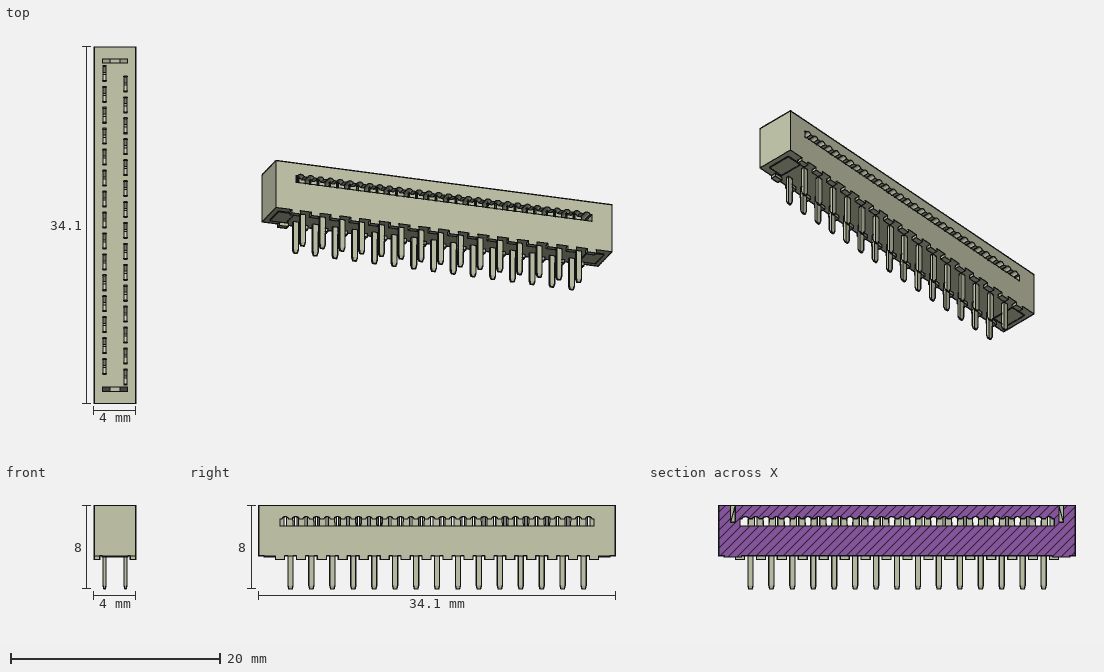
import cadquery as cq

LENGTH = 34.1
WIDTH = 4.0
HEIGHT = 4.85
TOTAL_HEIGHT = 8.0

CONTACTS_PER_ROW = 15
WIRE_COUNT = 2 * CONTACTS_PER_ROW
SLOT_LENGTH = 30.0
WIRE_PITCH = SLOT_LENGTH / WIRE_COUNT
CONTACT_PITCH = 2 * WIRE_PITCH
ROW_X = WIRE_PITCH
ROW_STAGGER = WIRE_PITCH / 2
CONTACT_THICKNESS = 0.3

SLOT_CEILING = 1.3
SLOT_FLOOR = 1.98
GROOVE_RADIUS = 0.35
GROOVE_DEPTH = 0.2

WINDOW_LENGTH = 1.55
FORK_TOP_WIDTH = 1.33
FORK_BASE_WIDTH = 1.5
FORK_GAP = 0.2
FORK_TOP = 0.5
NOTCH_BOTTOM = 0.92

LATCH_Y = 15.7
LATCH_WIDTH = 0.4
LATCH_LENGTH = 2.4
LATCH_CENTRE_LENGTH = 0.92
LATCH_DEPTH = 1.6
LATCH_SLOPE_TOP = 0.1

PIN_WIDTH = 0.5
PIN_TIP_HEIGHT = 0.35
PIN_TIP_WIDTH = 0.35
PIN_TIP_THICKNESS = 0.15

PAD_WIDTH = 2.45
PAD_LENGTH = 1.67
PAD_HEIGHT = 0.1
FOOT_WIDTH = 0.55
FOOT_LENGTH = 0.9
FOOT_HEIGHT = 0.35
FOOT_COUNT = CONTACTS_PER_ROW + 1


def block(x_size, y_size, top, bottom, x=0, y=0):
    """Box centred on (x, y) between the depths top and bottom below the top face."""
    return (
        cq.Workplane("XY", origin=(x, y, -bottom))
        .rect(x_size, y_size)
        .extrude(bottom - top)
    )


def centred_row(count, pitch):
    """Positions of count items spread evenly about zero."""
    return [(i - (count - 1) / 2) * pitch for i in range(count)]


def yz_prism(points, thickness, x=0):
    """Closed YZ outline extruded along X, centred on x."""
    return (
        cq.Workplane("YZ", origin=(x - thickness / 2, 0, 0))
        .polyline(points)
        .close()
        .extrude(thickness)
    )


def cable_slot():
    """Through slot with one round groove in its ceiling for each wire."""
    slot = block(WIDTH, SLOT_LENGTH, SLOT_CEILING, SLOT_FLOOR)
    groove_z = -SLOT_CEILING + GROOVE_DEPTH - GROOVE_RADIUS
    grooves = (
        cq.Workplane("YZ", origin=(-WIDTH / 2, 0, groove_z))
        .pushPoints([(y, 0) for y in centred_row(WIRE_COUNT, WIRE_PITCH)])
        .circle(GROOVE_RADIUS)
        .extrude(WIDTH)
    )
    return slot.union(grooves)


def contact_fork(x, y):
    """Forked blade, tapered outside, with a V lead-in that narrows to a parallel gap."""
    half_top = FORK_TOP_WIDTH / 2
    half_base = FORK_BASE_WIDTH / 2
    half_gap = FORK_GAP / 2
    outline = [
        (y - half_base, -HEIGHT),
        (y - half_base, -SLOT_FLOOR),
        (y - half_top, -FORK_TOP),
        (y - half_gap, -NOTCH_BOTTOM),
        (y - half_gap, -SLOT_FLOOR),
        (y + half_gap, -SLOT_FLOOR),
        (y + half_gap, -NOTCH_BOTTOM),
        (y + half_top, -FORK_TOP),
        (y + half_base, -SLOT_FLOOR),
        (y + half_base, -HEIGHT),
    ]
    return yz_prism(outline, CONTACT_THICKNESS, x)


def latch_recess(side):
    """End recess: flat in the middle, with a steep outward slope on each side."""
    y = side * LATCH_Y
    inner = y - side * LATCH_WIDTH / 2
    outer = y + side * LATCH_WIDTH / 2
    wedge = [
        (inner, 0),
        (outer, 0),
        (outer, -LATCH_DEPTH),
        (inner, -LATCH_SLOPE_TOP),
    ]
    sloped = yz_prism(wedge, LATCH_LENGTH)
    centre = block(LATCH_CENTRE_LENGTH, LATCH_WIDTH, 0, LATCH_DEPTH, y=y)
    return sloped.union(centre)


def pin(x, y):
    """Flat solder pin with a tapered tip."""
    tip_top = TOTAL_HEIGHT - PIN_TIP_HEIGHT
    shank = block(CONTACT_THICKNESS, PIN_WIDTH, HEIGHT, tip_top, x, y)
    tip = (
        cq.Workplane("XY", origin=(x, y, -tip_top))
        .rect(CONTACT_THICKNESS, PIN_WIDTH)
        .workplane(offset=-PIN_TIP_HEIGHT)
        .rect(PIN_TIP_THICKNESS, PIN_TIP_WIDTH)
        .loft(ruled=True)
    )
    return shank.union(tip)


def group(pieces):
    """Gather separate solids so that they are cut or joined in one step."""
    return cq.Compound.makeCompound([piece.val() for piece in pieces])


windows = []
forks = []
pins = []
feet = []
for side in (-1, 1):
    row_x = side * ROW_X
    for pin_y in centred_row(CONTACTS_PER_ROW, CONTACT_PITCH):
        fork_y = pin_y - side * ROW_STAGGER
        windows.append(block(CONTACT_THICKNESS, WINDOW_LENGTH, 0, SLOT_FLOOR, row_x, fork_y))
        forks.append(contact_fork(row_x, fork_y))
        pins.append(pin(row_x, pin_y))
    foot_x = side * (WIDTH - FOOT_WIDTH) / 2
    for foot_y in centred_row(FOOT_COUNT, CONTACT_PITCH):
        feet.append(block(FOOT_WIDTH, FOOT_LENGTH, HEIGHT, HEIGHT + FOOT_HEIGHT, foot_x, foot_y))

recesses = [latch_recess(side) for side in (-1, 1)]
pads = [
    block(PAD_WIDTH, PAD_LENGTH, HEIGHT, HEIGHT + PAD_HEIGHT, y=side * LATCH_Y)
    for side in (-1, 1)
]

housing = block(WIDTH, LENGTH, 0, HEIGHT).cut(cable_slot())
housing = housing.cut(cq.Workplane(group(windows)))
housing = housing.cut(cq.Workplane(group(recesses)))
body = housing.union(cq.Workplane(group(forks)))
body = body.union(cq.Workplane(group(pins + feet)))
body = body.union(cq.Workplane(group(pads)))
result = cq.Workplane(body.solids().val())